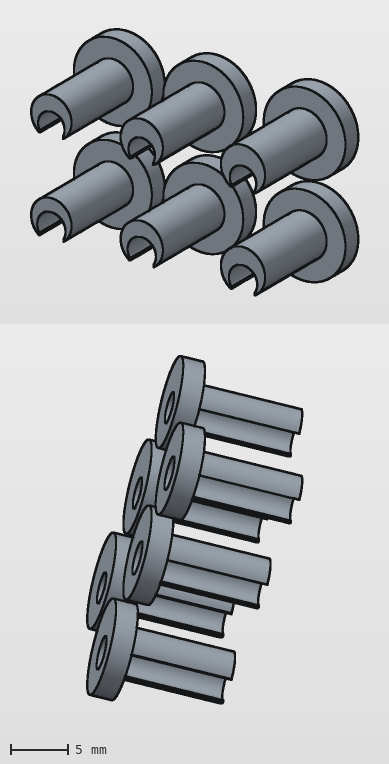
import cadquery as cq
import math

head_thickness = 2.0
shank_length = 9.5
pin_length = head_thickness + shank_length

head_diameters = (8.3, 8.5, 8.7)
head_overhang = 2.0
lower_bore_diameter = 3.0
upper_bore_diameter = 2.8

lower_bore_drop = 0.05
upper_bore_drop = 0.1

edge_height = 0.24
tip_trim = 0.4

column_x = (0.0, 9.6, 20.35)
lower_heads_bottom_z = 0.0
row_pitches = (9.85, 9.75, 9.75)


def make_bore(shank_radius, bore_radius, bore_z):
    """Round bore through the whole pin, kept within the round outline of the shank."""
    bore = cq.Workplane("XZ").center(0, bore_z).circle(bore_radius).extrude(pin_length)
    bore_limit = cq.Workplane("XZ").circle(shank_radius).extrude(pin_length)
    return bore.intersect(bore_limit)


def make_open_shank(shank_radius, bore_radius, bore_z):
    """Shank with its underside slotted below the bore axis and its lower edges trimmed flat."""
    shank_plane = cq.Workplane("XZ", origin=(0, -head_thickness, 0))
    shank = shank_plane.circle(shank_radius).extrude(shank_length)

    moved_depth = edge_height - bore_z
    wall_z = (bore_radius**2 - shank_radius**2 - moved_depth**2) / (2 * moved_depth)
    slot_width = 2 * math.sqrt(shank_radius**2 - wall_z**2)
    slot = (
        shank_plane.center(0, bore_z - shank_radius / 2)
        .rect(slot_width, shank_radius)
        .extrude(shank_length)
    )

    trim_z = tip_trim - shank_radius
    trim = (
        shank_plane.center(0, trim_z - shank_radius / 2)
        .rect(2 * shank_radius, shank_radius)
        .extrude(shank_length)
    )
    return shank.cut(slot).cut(trim)


def make_pin(head_diameter, bore_diameter, bore_drop, center_x, center_z):
    """Headed pin along Y: the back of the head lies at Y = 0 and the shank points to -Y."""
    shank_radius = head_diameter / 2 - head_overhang
    bore_radius = bore_diameter / 2
    bore_z = bore_radius - shank_radius - bore_drop

    head = cq.Workplane("XZ").circle(head_diameter / 2).extrude(head_thickness)
    shank = make_open_shank(shank_radius, bore_radius, bore_z)
    bore = make_bore(shank_radius, bore_radius, bore_z)
    return head.union(shank).cut(bore).translate((center_x, 0, center_z))


pins = []
for head_diameter, center_x, row_pitch in zip(head_diameters, column_x, row_pitches):
    lower_z = lower_heads_bottom_z + head_diameter / 2
    upper_z = lower_z + row_pitch
    pins.append(make_pin(head_diameter, lower_bore_diameter, lower_bore_drop, center_x, lower_z))
    pins.append(make_pin(head_diameter, upper_bore_diameter, upper_bore_drop, center_x, upper_z))

result = cq.Compound.makeCompound([pin.solids().val() for pin in pins])